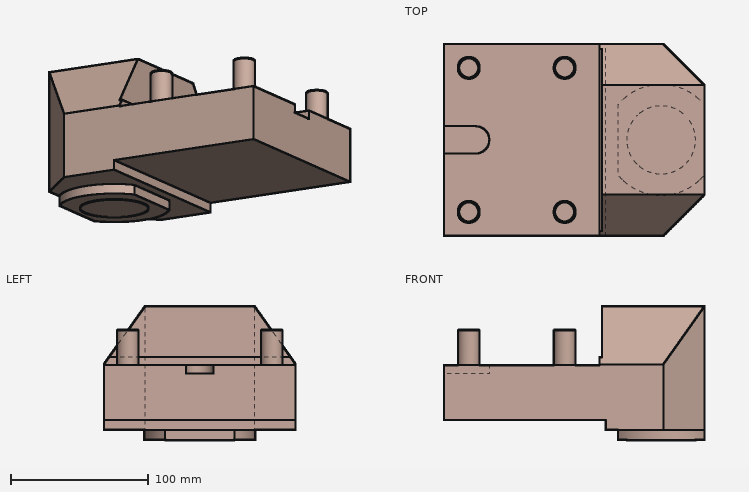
import cadquery as cq

length = 190.0
width = 140.0
height = 98.0

plate_bottom = 15.0
plate_top = 55.1

head_start = 115.1
head_bottom = 7.8
foot_start = 117.8
ledge_start = 113.2
ledge_top = 60.8
corner_cut = 30.0
slope_start = 55.7

flange_diameter = 81.1
flange_length = 63.3
flange_bottom = 0.5
disc_diameter = 50.0
flange_center = length - flange_length / 2

pin_diameter = 16.0
pin_height = 26.0
pin_chamfer = 1.0
pin_first_x = 18.0
pin_spacing_x = 70.0
pin_spacing_y = 105.0

slot_width = 20.0
slot_length = 33.0
slot_depth = 6.3


def make_body():
    """Stepped side profile, trimmed by the head's slopes and corner cuts."""
    profile = [
        (0, plate_bottom),
        (foot_start, plate_bottom),
        (foot_start, head_bottom),
        (length, head_bottom),
        (length, height),
        (head_start, height),
        (head_start, ledge_top),
        (ledge_start, ledge_top),
        (ledge_start, plate_top),
        (0, plate_top),
    ]
    body = cq.Workplane("XZ").polyline(profile).close().extrude(width / 2, both=True)

    top_half_width = width / 2 - corner_cut
    section = [
        (-width / 2, 0),
        (width / 2, 0),
        (width / 2, slope_start),
        (top_half_width, height),
        (-top_half_width, height),
        (-width / 2, slope_start),
    ]
    envelope = cq.Workplane("YZ").polyline(section).close().extrude(length)
    plan = (
        cq.Workplane("XY")
        .rect(2 * length, width)
        .extrude(height)
        .edges("|Z and >X")
        .chamfer(corner_cut)
    )
    return body.intersect(envelope).intersect(plan)


def make_flange():
    """Round flange flattened on both X sides, with a disc on its lower face."""
    flange = (
        cq.Workplane("XY", origin=(flange_center, 0, flange_bottom))
        .circle(flange_diameter / 2)
        .extrude(head_bottom - flange_bottom)
    )
    flats = (
        cq.Workplane("XY", origin=(flange_center, 0, 0))
        .rect(flange_length, flange_diameter)
        .extrude(head_bottom)
    )
    disc = (
        cq.Workplane("XY", origin=(flange_center, 0, 0))
        .circle(disc_diameter / 2)
        .extrude(head_bottom)
    )
    return flange.intersect(flats).union(disc)


def make_pins():
    """Four pins with chamfered tips standing on the plate."""
    pin_center_x = pin_first_x + pin_spacing_x / 2
    return (
        cq.Workplane("XY", origin=(pin_center_x, 0, plate_top))
        .rarray(pin_spacing_x, pin_spacing_y, 2, 2)
        .circle(pin_diameter / 2)
        .extrude(pin_height)
        .faces(">Z")
        .edges()
        .chamfer(pin_chamfer)
    )


def make_slot():
    """Slot cutter, open at the free end and rounded at the inner end."""
    straight_end = slot_length - slot_width / 2
    return (
        cq.Workplane("XY", origin=(0, 0, plate_top - slot_depth))
        .moveTo(0, -slot_width / 2)
        .lineTo(straight_end, -slot_width / 2)
        .threePointArc((slot_length, 0), (straight_end, slot_width / 2))
        .lineTo(0, slot_width / 2)
        .close()
        .extrude(slot_depth)
    )


result = make_body().union(make_flange()).union(make_pins()).cut(make_slot())